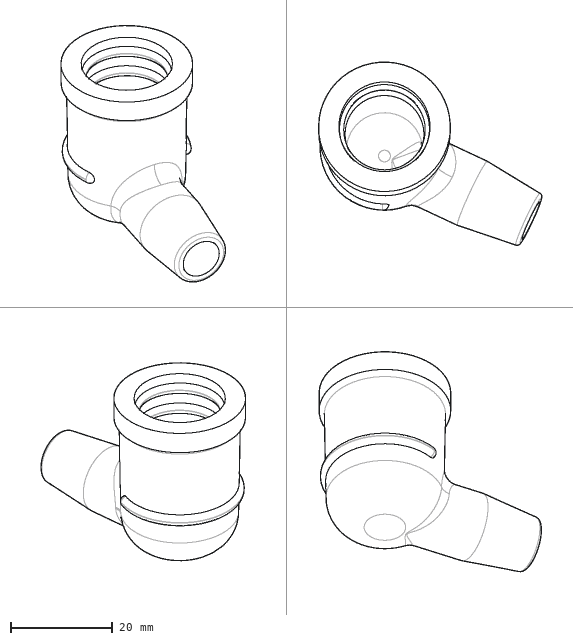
import cadquery as cq
import math

OVERALL_LENGTH = 44.98
TOTAL_HEIGHT = 34.04
FLANGE_RADIUS = 13.01
FLANGE_THICKNESS = 4.5
FLANGE_FILLET = 1.0
BODY_TOP_RADIUS = 12.0
BODY_LOW_RADIUS = 11.65
DOME_RADIUS = 7.55

SPOUT_RADIUS = 7.0
SPOUT_END_X = OVERALL_LENGTH - FLANGE_RADIUS
SPOUT_TAPER_START_X = 19.24
SPOUT_END_RADIUS = 5.6
SPOUT_END_FILLET = 0.7
SPOUT_ROOT_FILLET = 3.0
SPOUT_LIFT = 0.03
SPOUT_AXIS_HEIGHT = SPOUT_RADIUS + SPOUT_LIFT

WALL = 3.0
CAVITY_TOP_RADIUS = 9.0
CAVITY_LOW_RADIUS = 7.5
CAVITY_DOME_RADIUS = 6.33
SPOUT_BORE_RADIUS = SPOUT_RADIUS - WALL
BORE_MOUTH_FILLET = 2.2

RIDGE_HALF_HEIGHT = 1.25
RIDGE_FLAT = 0.1

SEAL_BEAD_PROTRUSION = 0.75
SEAL_BEAD_ROOT_DEPTH = 0.5
SEAL_BEAD_PITCH = 4.5
SEAL_BEAD_DEPTH = 3.3
SEAL_BEAD_COUNT = 2

RIB_HEIGHT = 12.97
RIB_TIP_RADIUS = 12.75
RIB_ROOT_RADIUS = 10.5
RIB_END_X = 5.1

FLANGE_BOTTOM = TOTAL_HEIGHT - FLANGE_THICKNESS
CAVITY_DOME_TOP = WALL + CAVITY_DOME_RADIUS


def cavity_radius(z):
    """Radius of the tapered cavity wall at height z."""
    rise = (z - CAVITY_DOME_TOP) / (TOTAL_HEIGHT - CAVITY_DOME_TOP)
    return CAVITY_LOW_RADIUS + rise * (CAVITY_TOP_RADIUS - CAVITY_LOW_RADIUS)


def domed_plug(bottom, dome_radius, low_radius, top, top_radius):
    """Tapered round plug with a flat-centred domed bottom."""
    flat_radius = low_radius - dome_radius
    lean = dome_radius * math.sqrt(0.5)
    return (
        cq.Workplane("XZ")
        .moveTo(0, bottom)
        .lineTo(flat_radius, bottom)
        .threePointArc(
            (flat_radius + lean, bottom + dome_radius - lean),
            (low_radius, bottom + dome_radius),
        )
        .lineTo(top_radius, top)
        .lineTo(0, top)
        .close()
        .revolve(360, (0, 0, 0), (0, 1, 0))
    )


def make_cup():
    """Domed body with a flange blended onto its top."""
    body = domed_plug(0, DOME_RADIUS, BODY_LOW_RADIUS, FLANGE_BOTTOM, BODY_TOP_RADIUS)
    flange = (
        cq.Workplane("XY")
        .workplane(offset=FLANGE_BOTTOM)
        .circle(FLANGE_RADIUS)
        .extrude(FLANGE_THICKNESS)
    )
    under_flange_edge = cq.selectors.RadiusNthSelector(0)
    return (
        body.union(flange)
        .faces("<Z[1]")
        .edges(under_flange_edge)
        .fillet(FLANGE_FILLET)
    )


def make_spout():
    """Straight then tapered spout, starting on the cup axis."""
    spout = (
        cq.Workplane("XY")
        .lineTo(SPOUT_END_X, 0)
        .lineTo(SPOUT_END_X, SPOUT_END_RADIUS)
        .lineTo(SPOUT_TAPER_START_X, SPOUT_RADIUS)
        .lineTo(0, SPOUT_RADIUS)
        .close()
        .revolve(360, (0, 0, 0), (1, 0, 0))
        .faces(">X")
        .edges()
        .fillet(SPOUT_END_FILLET)
    )
    return spout.translate((0, 0, SPOUT_AXIS_HEIGHT))


def make_cavity():
    """Empty space inside: domed cavity, spout bore and the rounded mouth between them."""
    cavity = domed_plug(WALL, CAVITY_DOME_RADIUS, CAVITY_LOW_RADIUS, TOTAL_HEIGHT, CAVITY_TOP_RADIUS)
    bore = (
        cq.Workplane("YZ")
        .center(0, SPOUT_AXIS_HEIGHT)
        .circle(SPOUT_BORE_RADIUS)
        .extrude(SPOUT_END_X)
    )
    return cavity.union(bore).edges("%BSPLINE").fillet(BORE_MOUTH_FILLET)


def ridge_half_outline(root_radius, tip_radius):
    """Upper half of a round-nosed ridge section, lying in the XZ plane on the X axis."""
    outward = math.copysign(1, tip_radius - root_radius)
    nose_radius = RIDGE_HALF_HEIGHT - RIDGE_FLAT / 2
    shoulder_radius = tip_radius - outward * nose_radius
    lean = nose_radius * math.sqrt(0.5)
    return (
        cq.Workplane("XZ")
        .moveTo(root_radius, 0)
        .lineTo(root_radius, RIDGE_HALF_HEIGHT)
        .lineTo(shoulder_radius, RIDGE_HALF_HEIGHT)
        .threePointArc(
            (shoulder_radius + outward * lean, RIDGE_FLAT / 2 + lean),
            (tip_radius, RIDGE_FLAT / 2),
        )
        .lineTo(tip_radius, 0)
        .close()
    )


def make_ridge(root_radius, tip_radius, sweep_angle):
    """Ridge swept about the Z axis from the +X direction, centred on Z = 0."""
    upper_half = ridge_half_outline(root_radius, tip_radius).revolve(
        sweep_angle, (0, 0, 0), (0, 1, 0)
    )
    return upper_half.union(upper_half.mirror("XY"))


def make_seal_bead(height):
    """Round-nosed ring standing in from the cavity wall at the given height."""
    wall_radius = cavity_radius(height)
    bead = make_ridge(
        wall_radius + SEAL_BEAD_ROOT_DEPTH,
        wall_radius - SEAL_BEAD_PROTRUSION,
        360,
    )
    return bead.translate((0, 0, height))


def make_rib():
    """Round-nosed arc around the back of the cup with domed ends."""
    end_angle = math.degrees(math.acos(RIB_END_X / RIB_TIP_RADIUS))
    rib = make_ridge(RIB_ROOT_RADIUS, RIB_TIP_RADIUS, 360 - 2 * end_angle)
    rib = rib.rotate((0, 0, 0), (0, 0, 1), end_angle)
    domed_end = ridge_half_outline(RIB_ROOT_RADIUS, RIB_TIP_RADIUS).revolve(
        360, (0, 0, 0), (1, 0, 0)
    )
    for angle in (-end_angle, end_angle):
        rib = rib.union(domed_end.rotate((0, 0, 0), (0, 0, 1), angle))
    return rib.translate((0, 0, RIB_HEIGHT))


outer = make_cup().union(make_spout()).edges("%BSPLINE").fillet(SPOUT_ROOT_FILLET)
result = outer.union(make_rib()).cut(make_cavity())
for bead_index in range(SEAL_BEAD_COUNT):
    bead_height = TOTAL_HEIGHT - SEAL_BEAD_DEPTH - bead_index * SEAL_BEAD_PITCH
    result = result.union(make_seal_bead(bead_height))